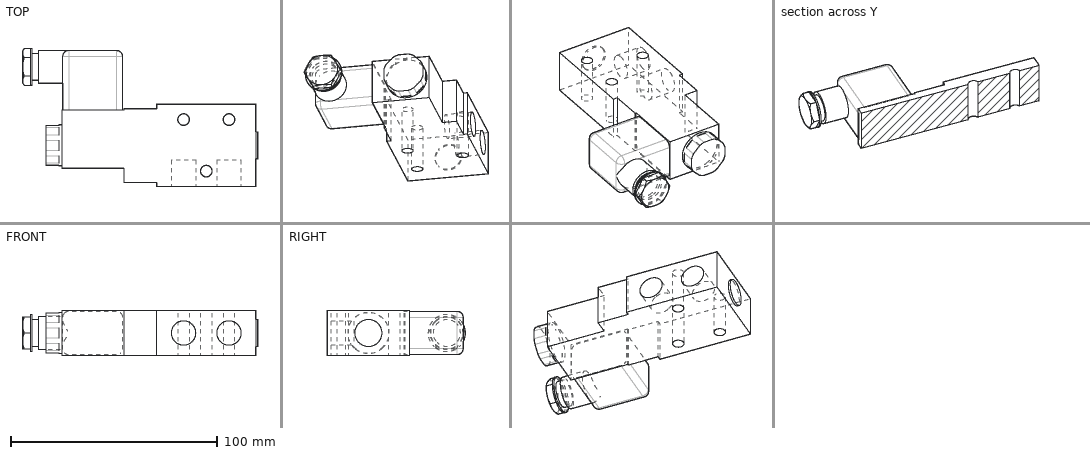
import cadquery as cq
import math


height = 22.0
pilot_end_x = 30.1
adapter_end_x = 45.9
body_end_x = 94.0
pilot_y = (8.9, 37.2)
adapter_y = (1.9, 37.8)
body_y = (0.0, 40.0)
spool_axis_y = (body_y[0] + body_y[1]) / 2

port_pitch = 22.0
first_port_x = 59.0
port_x = (first_port_x, first_port_x + port_pitch)
port_diameter = 11.8
port_depth = 13.0
mounting_hole_diameter = 5.5
mounting_hole_inset = 7.5
mounting_holes = [
    (port_x[0], body_y[1] - mounting_hole_inset),
    (port_x[1], body_y[1] - mounting_hole_inset),
    (port_x[0] + port_pitch / 2, body_y[0] + mounting_hole_inset),
]

end_boss_diameter = 13.1
end_boss_length = 1.0

cap_radius = 10.0
cap_length = 7.7
cap_flat_distance = 9.7
cap_flat_length = 6.3
cap_flat_count = 8

housing_x = (0.4, 29.5)
housing_height = 21.0
housing_top_y = 66.0
housing_fillet = 3.0

gland_tip_x = -19.0
gland_tube_diameter = 16.0
gland_axis_y = housing_top_y - gland_tube_diameter / 2
gland_tube_overlap = 4.0
neck_diameter = 13.1
neck_length = 3.0
nut_sides = 6
nut_diameter = 18.0
nut_tip_radius = nut_diameter / 2 * math.cos(math.pi / nut_sides)
nut_hex_length = 3.8
nut_flange_length = 0.8
nut_bevel_angle = 56.0


def section(x_range, y_range, section_height):
    """Box centred on Z = 0 between the given X and Y limits."""
    return (
        cq.Workplane("XY")
        .box(
            x_range[1] - x_range[0],
            y_range[1] - y_range[0],
            section_height,
            centered=(False, False, True),
        )
        .translate((x_range[0], y_range[0], 0))
    )


def rod(x_start, length, axis_y, diameter):
    """Cylinder along +X from x_start."""
    return (
        cq.Workplane("YZ", origin=(x_start, axis_y, 0))
        .circle(diameter / 2)
        .extrude(length)
    )


def make_valve_body():
    body = section((0, pilot_end_x), pilot_y, height)
    body = body.union(section((pilot_end_x, adapter_end_x), adapter_y, height))
    body = body.union(section((adapter_end_x, body_end_x), body_y, height))
    return body.union(rod(body_end_x, end_boss_length, spool_axis_y, end_boss_diameter))


def make_mounting_holes():
    return (
        cq.Workplane("XY", origin=(0, 0, -height / 2))
        .pushPoints(mounting_holes)
        .circle(mounting_hole_diameter / 2)
        .extrude(height)
    )


def make_ports():
    return (
        cq.Workplane("XZ")
        .pushPoints([(x, 0) for x in port_x])
        .circle(port_diameter / 2)
        .extrude(-port_depth)
    )


def make_cap():
    cap = rod(-cap_length, cap_length, spool_axis_y, 2 * cap_radius)
    flat_cutter_depth = cap_radius
    for i in range(cap_flat_count):
        cutter = (
            cq.Workplane("XY")
            .box(cap_flat_length, 2 * cap_radius, flat_cutter_depth, centered=(False, True, False))
            .translate((-cap_length, 0, cap_flat_distance))
            .rotate((0, 0, 0), (1, 0, 0), i * 360 / cap_flat_count)
            .translate((0, spool_axis_y, 0))
        )
        cap = cap.cut(cutter)
    return cap


def make_plug_housing():
    housing = section(housing_x, (pilot_y[1], housing_top_y), housing_height)
    return housing.edges("|Y or >Y").fillet(housing_fillet)


def make_gland_nut():
    """Hexagon with flats facing +Z and -Z, bevelled at its tip, on a thin flange."""
    tip_plane = cq.Workplane("YZ", origin=(gland_tip_x, gland_axis_y, 0))
    hexagon = tip_plane.polygon(nut_sides, nut_diameter).extrude(nut_hex_length)
    bevel_cone = tip_plane.circle(nut_tip_radius).extrude(nut_hex_length, taper=-nut_bevel_angle)
    flange = rod(gland_tip_x + nut_hex_length, nut_flange_length, gland_axis_y, nut_diameter)
    return hexagon.intersect(bevel_cone).union(flange)


def make_gland():
    neck_x = gland_tip_x + nut_hex_length + nut_flange_length
    tube_x = neck_x + neck_length
    tube_length = housing_x[0] + gland_tube_overlap - tube_x
    neck = rod(neck_x, neck_length, gland_axis_y, neck_diameter)
    tube = rod(tube_x, tube_length, gland_axis_y, gland_tube_diameter)
    return make_gland_nut().union(neck).union(tube)


valve_body = make_valve_body().cut(make_mounting_holes()).cut(make_ports())
plug = make_plug_housing().union(make_gland())
result = valve_body.union(make_cap()).union(plug)